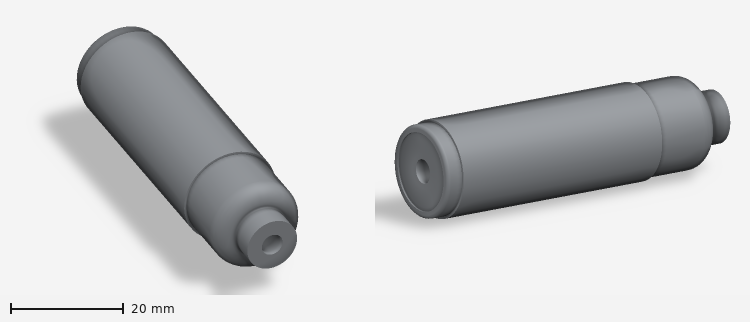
import cadquery as cq

length = 63.45
x_front = -length / 2
x_end = length / 2
front_collar_length = 3.1
sleeve_length = 42.8
neck_length = 4.75

sleeve_radius = 17.95 / 2
body_radius = 8.5
neck_radius = 4.9

front_round = 0.65
shoulder_round = 3.05
neck_root_round = 0.3

recess_radius = 7.2
recess_depth = 0.3
dish_radius = 6.6
dish_depth = 0.3

bore_radius = 2.2
neck_bore_radius = 2.0

x_shoulder = x_end - neck_length
x_sleeve_start = x_front + front_collar_length
x_sleeve_end = x_sleeve_start + sleeve_length
x_recess_floor = x_front + recess_depth


def revolve_about_x(profile):
    """Turn a closed XZ half-profile into a solid of revolution about the X axis."""
    return profile.close().revolve(360, (0, 0, 0), (1, 0, 0))


outer_profile = (
    cq.Workplane("XZ")
    .moveTo(x_front, 0)
    .lineTo(x_front, body_radius - front_round)
    .radiusArc((x_front + front_round, body_radius), front_round)
    .lineTo(x_sleeve_start, body_radius)
    .lineTo(x_sleeve_start, sleeve_radius)
    .lineTo(x_sleeve_end, sleeve_radius)
    .lineTo(x_sleeve_end, body_radius)
    .lineTo(x_shoulder - shoulder_round, body_radius)
    .radiusArc((x_shoulder, body_radius - shoulder_round), shoulder_round)
    .lineTo(x_shoulder, neck_radius + neck_root_round)
    .radiusArc((x_shoulder + neck_root_round, neck_radius), -neck_root_round)
    .lineTo(x_end, neck_radius)
    .lineTo(x_end, 0)
)
outer = revolve_about_x(outer_profile)

recess_profile = (
    cq.Workplane("XZ")
    .moveTo(x_front, 0)
    .lineTo(x_front, recess_radius)
    .lineTo(x_recess_floor, recess_radius)
    .lineTo(x_recess_floor, dish_radius)
    .lineTo(x_recess_floor + dish_depth, 0)
)
recess = revolve_about_x(recess_profile)

bore_profile = (
    cq.Workplane("XZ")
    .moveTo(x_front, 0)
    .lineTo(x_front, bore_radius)
    .lineTo(x_shoulder, bore_radius)
    .lineTo(x_shoulder, neck_bore_radius)
    .lineTo(x_end, neck_bore_radius)
    .lineTo(x_end, 0)
)
bore = revolve_about_x(bore_profile)

result = outer.cut(recess).cut(bore)